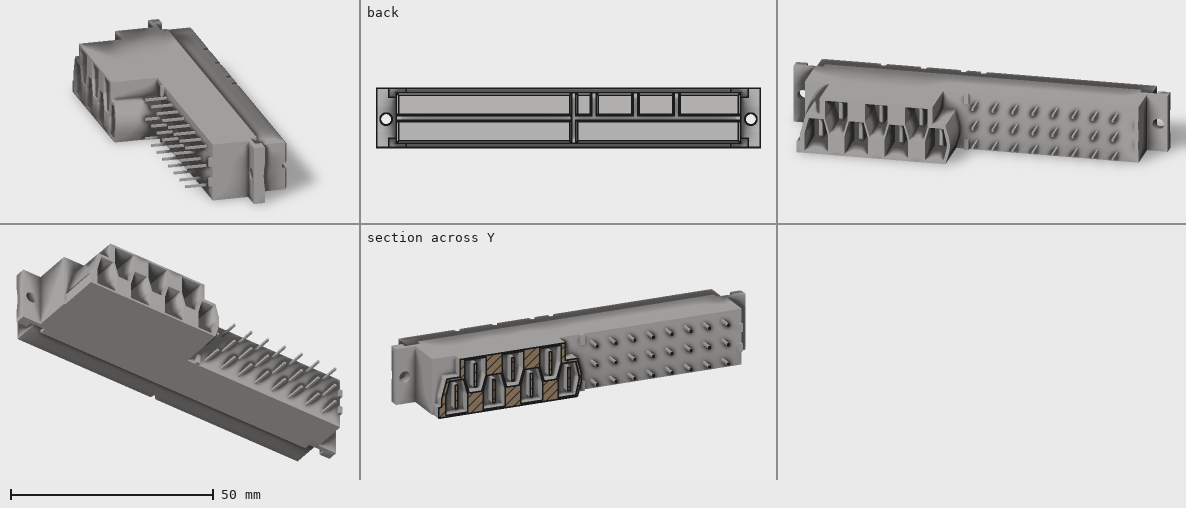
import cadquery as cq


OVERALL_LENGTH = 94.75
OVERALL_DEPTH = 30.92
HEIGHT = 14.7
MID_Z = HEIGHT / 2
FLANGE_THICKNESS = 2.8
PLUG_LENGTH = 84.9
PLUG_INSET = 1.15
PLUG_END_Y = 7.15
PLUG_CHAMFER = 0.55
BODY_LENGTH = 84.3
BODY_REAR_Y = -11.9
PAD_REAR_Y = -12.8
TOWER_REAR_Y = PLUG_END_Y - OVERALL_DEPTH

HOLE_SPACING = 90.0
HOLE_DIAMETER = 2.87
HOLE_Z = 7.05
NOTCH_OUTER_X = 44.4
NOTCH_INNER_X = 40.1
NOTCH_DEPTH_Y = 1.67
NOTCH_HEIGHT = 2 * PLUG_INSET
HOLLOW_CHORD = 6.2
HOLLOW_DEPTH = 0.3

GROOVE_MOUTH = 1.9
GROOVE_FLOOR = 1.1
GROOVE_DEPTH = 1.7
SHALLOW_GROOVE_DEPTH = 1.3
THROUGH_GROOVE_X = -1.3

POWER_PITCH = 10.16
FIRST_POWER_X = -36.82
LOWER_COUNT = 4
UPPER_COUNT = 3
LOWER_HALF_WIDTH = 2.95
LOWER_HALF_NARROW = 1.85
UPPER_HALF_WIDTH = 2.85
UPPER_HALF_NARROW = 1.65
WALL = 0.55
LOWER_SHOULDER_Z = 5.2
LOWER_TOP_Z = 9.25
UPPER_SHOULDER_Z = 9.45
UPPER_BOTTOM_Z = 5.5
POCKET_FLOOR_Y = PAD_REAR_Y
BLADE_WIDTH = 0.8
BLADE_HEIGHT = 6.3
BLADE_LENGTH = 6.0
BLADE_TAPER = 1.2
LOWER_BLADE_Z = 4.98
UPPER_BLADE_Z = 9.87

TOWER_LEFT_X = -41.8
LEDGE_X = -40.95
LEDGE_Z = 2.9
BULGE_Z = 4.9
SHOULDER_Z = 10.1
LEFT_SHOULDER_X = -39.5
UPPER_LEFT_X = -35.95
UPPER_RIGHT_X = -7.35
RIGHT_SHOULDER_X = -4.1
RIGHT_BULGE_X = -2.6
BULGE_RADIUS = 8.0
SIDE_WALL = 0.5
BULGE_WALL = 1.0

PIN_PITCH = 5.08
PIN_COLUMNS = 8
PIN_ROWS = 3
FIRST_PIN_X = 1.25
PIN_WIDTH = 0.5
PIN_HEIGHT = 0.6
PIN_END_Y = -17.4

EDGE_RIB_X = -1.3
EDGE_RIB_WIDTH = 1.1
EDGE_RIB_HEIGHT = 2.6
END_RIB_WIDTH = 0.9
END_RIB_HEIGHT = 2.1
END_RIB_OFFSET = 2.6


def box(x0, x1, y0, y1, z0, z1):
    """Box between two opposite corners."""
    return cq.Workplane("XY").box(x1 - x0, y1 - y0, z1 - z0, centered=False).translate((x0, y0, z0))


def prism_along_y(points, y0, y1):
    """Prism with an XZ outline, from y0 to y1."""
    plane = cq.Workplane("XZ", origin=(0, y1, 0))
    return plane.polyline(points).close().extrude(y1 - y0)


def groove_outline(center, depth=GROOVE_DEPTH):
    """Trapezoid outline of a keying groove, opening at the mating end of the plug."""
    floor_y = PLUG_END_Y - depth
    return [
        (center - GROOVE_MOUTH / 2, PLUG_END_Y),
        (center - GROOVE_FLOOR / 2, floor_y),
        (center + GROOVE_FLOOR / 2, floor_y),
        (center + GROOVE_MOUTH / 2, PLUG_END_Y),
    ]


def make_housing():
    """Flanges, body, raised pad and chamfered plug."""
    half_body = BODY_LENGTH / 2
    half_plug = PLUG_LENGTH / 2
    flanges = box(-OVERALL_LENGTH / 2, OVERALL_LENGTH / 2, -FLANGE_THICKNESS, 0, 0, HEIGHT)
    flanges = cut_flange_details(flanges)
    body = box(-half_body, half_body, BODY_REAR_Y, -FLANGE_THICKNESS, 0, HEIGHT)
    pad = box(-half_body, UPPER_LEFT_X, PAD_REAR_Y, BODY_REAR_Y, 0, HEIGHT)
    plug = box(-half_plug, half_plug, -NOTCH_DEPTH_Y, PLUG_END_Y, PLUG_INSET, HEIGHT - PLUG_INSET)
    plug = plug.faces(">Y").chamfer(PLUG_CHAMFER)
    return flanges.union(body).union(pad).union(plug)


def cut_flange_details(flanges):
    """Cut the mounting holes, mating side hollow and corner notches."""
    half_chord = HOLLOW_CHORD / 2
    hollow = (
        cq.Workplane("YZ", origin=(-OVERALL_LENGTH / 2, 0, 0))
        .moveTo(0, HOLE_Z - half_chord)
        .threePointArc((-HOLLOW_DEPTH, HOLE_Z), (0, HOLE_Z + half_chord))
        .close()
        .extrude(OVERALL_LENGTH)
    )
    flanges = flanges.cut(hollow)
    for side in (-1, 1):
        hole = (
            cq.Workplane("XZ")
            .center(side * HOLE_SPACING / 2, HOLE_Z)
            .circle(HOLE_DIAMETER / 2)
            .extrude(FLANGE_THICKNESS)
        )
        flanges = flanges.cut(hole)
        x0, x1 = sorted((side * NOTCH_INNER_X, side * NOTCH_OUTER_X))
        for z0 in (0, HEIGHT - NOTCH_HEIGHT):
            flanges = flanges.cut(box(x0, x1, -NOTCH_DEPTH_Y, 0, z0, z0 + NOTCH_HEIGHT))
    return flanges


def cut_long_groove(part):
    """Cut the groove along X at mid height, deeper on the power side of the through groove."""
    half_plug = PLUG_LENGTH / 2
    stretches = [
        (-half_plug, THROUGH_GROOVE_X, GROOVE_DEPTH),
        (THROUGH_GROOVE_X, half_plug, SHALLOW_GROOVE_DEPTH),
    ]
    for x0, x1, depth in stretches:
        outline = [(y, z) for z, y in groove_outline(MID_Z, depth)]
        plane = cq.Workplane("YZ", origin=(x0, 0, 0))
        part = part.cut(plane.polyline(outline).close().extrude(x1 - x0))
    return part


def cut_keying_grooves(part):
    """Cut one groove along X, one through groove along Z and three short ones in the upper half."""
    part = cut_long_groove(part)
    part = part.cut(cq.Workplane("XY").polyline(groove_outline(THROUGH_GROOVE_X)).close().extrude(HEIGHT))
    upper_half = cq.Workplane("XY", origin=(0, 0, MID_Z))
    for index in range(1, LOWER_COUNT):
        center = FIRST_POWER_X + index * POWER_PITCH
        part = part.cut(upper_half.polyline(groove_outline(center)).close().extrude(MID_Z))
    return part


def make_tower():
    """Solid block that surrounds the power contacts."""
    outline = [
        (TOWER_LEFT_X, 0),
        (TOWER_LEFT_X, LEDGE_Z),
        (LEDGE_X, LEDGE_Z),
        (LEDGE_X, BULGE_Z),
        (LEFT_SHOULDER_X, SHOULDER_Z),
        (UPPER_LEFT_X, SHOULDER_Z),
        (UPPER_LEFT_X, HEIGHT),
        (UPPER_RIGHT_X, HEIGHT),
        (UPPER_RIGHT_X, SHOULDER_Z),
        (RIGHT_SHOULDER_X, SHOULDER_Z),
        (RIGHT_BULGE_X, BULGE_Z),
        (RIGHT_SHOULDER_X, 0),
    ]
    tower = prism_along_y(outline, TOWER_REAR_Y, BODY_REAR_Y)
    return tower.edges("|Y and >X").fillet(BULGE_RADIUS)


def lower_pocket(center, is_last):
    """Pocket with a narrow top; the last one follows the bulged side of the tower."""
    right_side = [
        (center + LOWER_HALF_NARROW, LOWER_TOP_Z),
        (center + LOWER_HALF_WIDTH, LOWER_SHOULDER_Z),
        (center + LOWER_HALF_WIDTH, WALL),
    ]
    if is_last:
        right_side = [
            (RIGHT_SHOULDER_X - SIDE_WALL, LOWER_TOP_Z),
            (RIGHT_BULGE_X - BULGE_WALL, BULGE_Z),
            (RIGHT_SHOULDER_X - SIDE_WALL, WALL),
        ]
    left_side = [
        (center - LOWER_HALF_WIDTH, WALL),
        (center - LOWER_HALF_WIDTH, LOWER_SHOULDER_Z),
        (center - LOWER_HALF_NARROW, LOWER_TOP_Z),
    ]
    return prism_along_y(left_side + right_side, TOWER_REAR_Y, POCKET_FLOOR_Y)


def upper_pocket(center):
    """Pocket with a narrow bottom."""
    outline = [
        (center - UPPER_HALF_NARROW, UPPER_BOTTOM_Z),
        (center + UPPER_HALF_NARROW, UPPER_BOTTOM_Z),
        (center + UPPER_HALF_WIDTH, UPPER_SHOULDER_Z),
        (center + UPPER_HALF_WIDTH, HEIGHT - WALL),
        (center - UPPER_HALF_WIDTH, HEIGHT - WALL),
        (center - UPPER_HALF_WIDTH, UPPER_SHOULDER_Z),
    ]
    return prism_along_y(outline, TOWER_REAR_Y, POCKET_FLOOR_Y)


def power_blade(center_x, center_z):
    """Flat contact standing on the pocket floor, tapered at its tip."""
    half_height = BLADE_HEIGHT / 2
    tip_y = POCKET_FLOOR_Y - BLADE_LENGTH
    taper_y = tip_y + BLADE_TAPER
    tip_half = half_height - BLADE_TAPER
    outline = [
        (POCKET_FLOOR_Y, center_z - half_height),
        (taper_y, center_z - half_height),
        (tip_y, center_z - tip_half),
        (tip_y, center_z + tip_half),
        (taper_y, center_z + half_height),
        (POCKET_FLOOR_Y, center_z + half_height),
    ]
    plane = cq.Workplane("YZ", origin=(center_x - BLADE_WIDTH / 2, 0, 0))
    return plane.polyline(outline).close().extrude(BLADE_WIDTH)


def add_power_contacts(part):
    """Cut both rows of pockets and stand a blade in each."""
    blades = []
    for index in range(LOWER_COUNT):
        center = FIRST_POWER_X + index * POWER_PITCH
        part = part.cut(lower_pocket(center, index == LOWER_COUNT - 1))
        blades.append(power_blade(center, LOWER_BLADE_Z))
    for index in range(UPPER_COUNT):
        center = FIRST_POWER_X + (index + 0.5) * POWER_PITCH
        part = part.cut(upper_pocket(center))
        blades.append(power_blade(center, UPPER_BLADE_Z))
    for blade in blades:
        part = part.union(blade)
    return part


def signal_pin(x, z):
    """Rectangular pin standing on the rear of the body."""
    x0 = x - PIN_WIDTH / 2
    z0 = z - PIN_HEIGHT / 2
    return box(x0, x0 + PIN_WIDTH, PIN_END_Y, BODY_REAR_Y, z0, z0 + PIN_HEIGHT)


def add_signal_pins(part):
    """Add the grid of signal pins."""
    for column in range(PIN_COLUMNS):
        for row in range(PIN_ROWS):
            x = FIRST_PIN_X + column * PIN_PITCH
            z = MID_Z + (row - (PIN_ROWS - 1) / 2) * PIN_PITCH
            part = part.union(signal_pin(x, z))
    return part


def add_standoff_ribs(part):
    """Ribs at the top and bottom edges beside the tower, and two at the right end."""
    x0 = EDGE_RIB_X - EDGE_RIB_WIDTH / 2
    for z0 in (0, HEIGHT - EDGE_RIB_HEIGHT):
        rib = box(x0, x0 + EDGE_RIB_WIDTH, PAD_REAR_Y, BODY_REAR_Y, z0, z0 + EDGE_RIB_HEIGHT)
        part = part.union(rib)
    x1 = BODY_LENGTH / 2
    for offset in (-END_RIB_OFFSET, END_RIB_OFFSET):
        z0 = MID_Z + offset - END_RIB_HEIGHT / 2
        rib = box(x1 - END_RIB_WIDTH, x1, PAD_REAR_Y, BODY_REAR_Y, z0, z0 + END_RIB_HEIGHT)
        part = part.union(rib)
    return part


result = make_housing().union(make_tower())
result = cut_keying_grooves(result)
result = add_power_contacts(result)
result = add_signal_pins(result)
result = add_standoff_ribs(result)